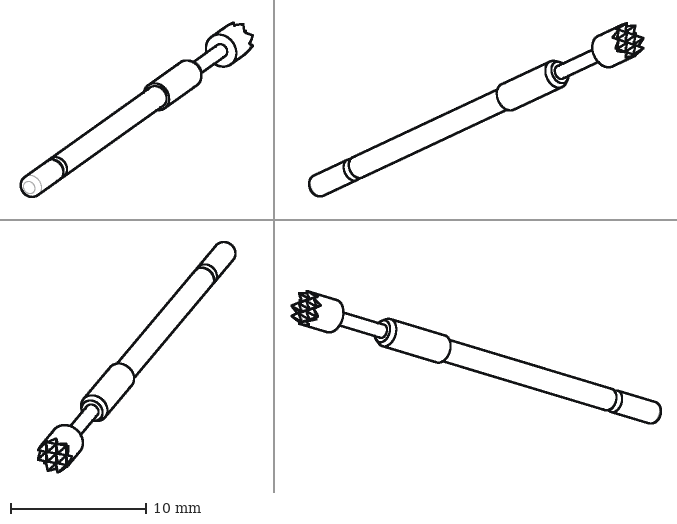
import cadquery as cq
import math

total_length = 36.3

head_radius = 2.5 / 2
head_length = 3.0
plunger_radius = 1.0 / 2

sleeve_radius = 2.1 / 2
sleeve_start = 22.07
sleeve_end = 28.1
sleeve_chamfer_length = 0.45

barrel_radius = 1.67 / 2
tail_fillet = 0.35

groove_start = 4.2
groove_width = 0.58
groove_depth = 0.15

tooth_pitch = 0.8
tooth_angle = 60.0
tooth_height = tooth_pitch / 2 / math.tan(math.radians(tooth_angle / 2))
cuts_per_direction = 5

head_start = total_length - head_length
sleeve_shoulder = sleeve_end - sleeve_chamfer_length
groove_end = groove_start + groove_width


def turned_body():
    """Revolve the half profile (radius along Z) about the Y axis."""
    fillet_mid = tail_fillet * (1 - math.sqrt(0.5))
    groove_bottom = (barrel_radius - groove_depth, groove_start + groove_width / 2)
    profile = (
        cq.Workplane("ZY")
        .moveTo(0, 0)
        .lineTo(barrel_radius - tail_fillet, 0)
        .threePointArc((barrel_radius - fillet_mid, fillet_mid), (barrel_radius, tail_fillet))
        .lineTo(barrel_radius, groove_start)
        .threePointArc(groove_bottom, (barrel_radius, groove_end))
        .lineTo(barrel_radius, sleeve_start)
        .lineTo(sleeve_radius, sleeve_start)
        .lineTo(sleeve_radius, sleeve_shoulder)
        .lineTo(barrel_radius, sleeve_end)
        .lineTo(plunger_radius, sleeve_end)
        .lineTo(plunger_radius, head_start)
        .lineTo(head_radius, head_start)
        .lineTo(head_radius, total_length)
        .lineTo(0, total_length)
        .close()
    )
    return profile.revolve(360, (0, 0, 0), (0, 1, 0))


def tooth_cutter():
    """Zigzag prism along Z that leaves rows of V-shaped ridges spaced across X."""
    half_width = cuts_per_direction * tooth_pitch / 2
    clear_end = total_length + tooth_height
    outline = [(-half_width, clear_end), (-half_width, total_length)]
    for index in range(cuts_per_direction):
        valley = (index + 0.5) * tooth_pitch - half_width
        outline.append((valley, total_length - tooth_height))
        outline.append((valley + tooth_pitch / 2, total_length))
    outline.append((half_width, clear_end))
    return cq.Workplane("XY").polyline(outline).close().extrude(half_width, both=True)


cuts_along_z = tooth_cutter()
cuts_along_x = cuts_along_z.rotate((0, 0, 0), (0, 1, 0), 90)
result = turned_body().cut(cuts_along_z).cut(cuts_along_x)